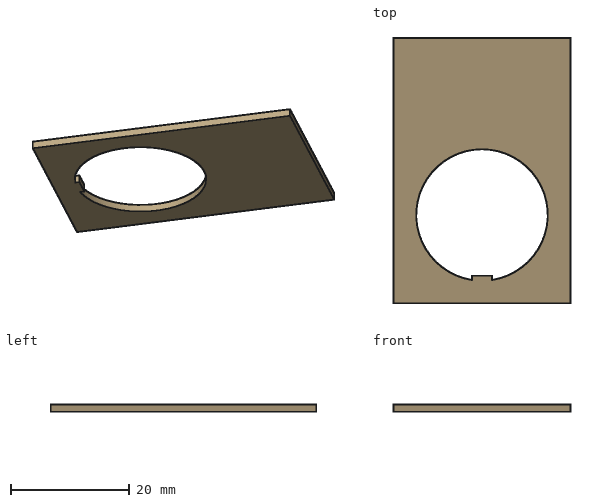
import cadquery as cq

plate_width = 30.0
plate_length = 45.0
plate_thickness = 1.3

opening_diameter = 22.25
opening_center_y = -7.5

key_width = 3.4
key_tip_distance = 10.25


def make_plate():
    return cq.Workplane("XY").box(plate_width, plate_length, plate_thickness)


def make_opening():
    """Cutter for the round through opening, with the key left standing."""
    opening_radius = opening_diameter / 2
    opening = cq.Workplane("XY").circle(opening_radius).extrude(plate_thickness / 2, both=True)
    key_depth = opening_radius - key_tip_distance
    key = (
        cq.Workplane("XY")
        .center(0, -key_tip_distance - key_depth / 2)
        .rect(key_width, key_depth)
        .extrude(plate_thickness / 2, both=True)
    )
    return opening.cut(key).translate((0, opening_center_y, 0))


result = make_plate().cut(make_opening())